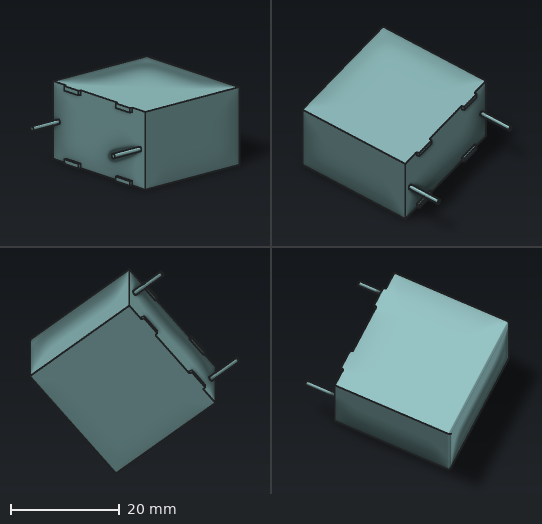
import cadquery as cq


width = 25.5
height = 15.0
overall_length = 30.0

lead_length = 6.5
lead_diameter = 0.9
lead_pitch = 22.5

housing_length = overall_length - lead_length
back_edge_radius = 0.5

foot_base_width = 4.15
foot_side_inset = 0.15
foot_height = 0.5
foot_thickness = 0.9
foot_spacing = 14.15


def make_foot(center_x, bottom_z):
    """Tapered foot on the lead face, with its underside at bottom_z."""
    half_base = foot_base_width / 2
    half_tip = half_base - foot_side_inset
    return (
        cq.Workplane("XY", origin=(center_x, 0, bottom_z))
        .polyline([
            (-half_base, 0),
            (half_base, 0),
            (half_tip, -foot_height),
            (-half_tip, -foot_height),
        ])
        .close()
        .extrude(foot_thickness)
    )


def make_housing():
    """Block with a rounded back rim and feet flush with its top and bottom."""
    block = (
        cq.Workplane("XY")
        .box(width, housing_length, height, centered=(True, False, True))
        .faces(">Y")
        .edges()
        .fillet(back_edge_radius)
    )
    for center_x in (-foot_spacing / 2, foot_spacing / 2):
        for bottom_z in (-height / 2, height / 2 - foot_thickness):
            block = block.union(make_foot(center_x, bottom_z))
    return block


def make_lead(center_x):
    """Round lead standing on the lead face at mid-height, pointing to -Y."""
    return (
        cq.Workplane("XZ", origin=(center_x, 0, 0))
        .circle(lead_diameter / 2)
        .extrude(lead_length)
    )


housing = make_housing()
leads = [make_lead(center_x) for center_x in (-lead_pitch / 2, lead_pitch / 2)]

result = cq.Compound.makeCompound([housing.val(), *[lead.val() for lead in leads]])